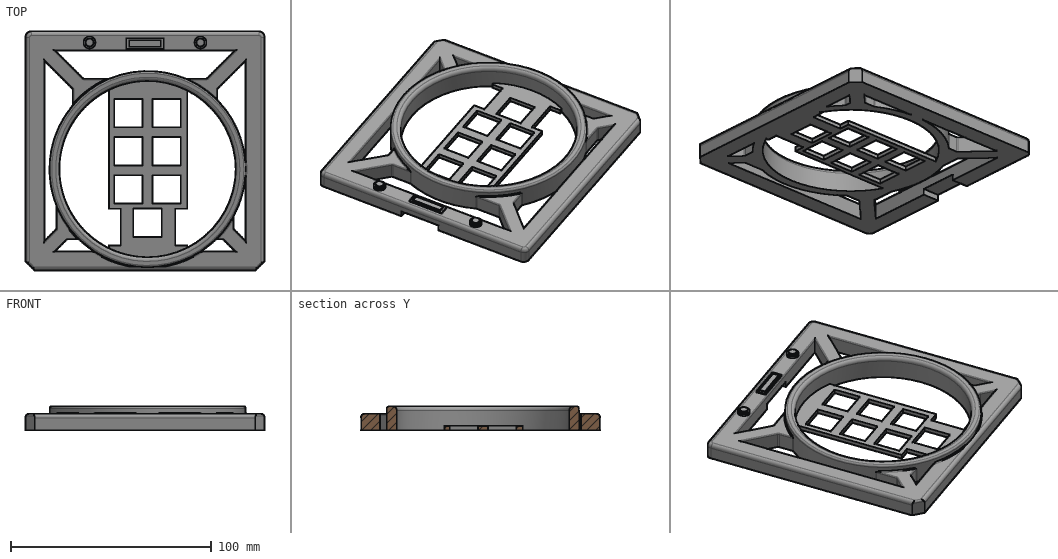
import cadquery as cq
FRAME_SIZE = 119.5
FRAME_HEIGHT = 8.4
FRAME_HALF = FRAME_SIZE / 2
WINDOW_HALF = 50.1
WINDOW_EDGE_RADIUS = 0.5
FRONT_CORNER_CHAMFER = 4.7
FRONT_CORNER_EDGE_RADIUS = 1.0
BACK_CORNER_RADIUS = 3.0
TOP_EDGE_RADIUS = 2.0

ARM_WIDTH = 7.4
BACK_PAD_REACH = 36.1
FRONT_PAD_REACH = 44.2
PAD_CORNER_RADIUS = 1.0

RING_X = 1.25
RING_Y = -9.1
RING_OUTER_RADIUS = 98 / 2
RING_INNER_RADIUS = 88 / 2
RING_HEIGHT = 12.1
RING_OUTER_FILLET = 1.0
RING_INNER_FILLET = 2.0
RING_BASE_FILLET = 0.5

PLATE_THICKNESS = 2.3
PLATE_WIDTH = 39.2
PLATE_X = 1.5
NECK_WIDTH = 27.4
NECK_BACK_Y = -29.0
NECK_FRONT_Y = -47.2
KEY_SIZE = 14.0
KEY_PITCH = 19.05
KEY_MIDDLE_Y = -0.2
THUMB_KEY_Y = -35.9

BUTTON_SPACING = 55.4
BUTTON_Y = 54.1
BUTTON_STEPS = ((6.0, 1.1), (4.0, 2.1))
BADGE_Y = 53.7
BADGE_STEPS = ((18.6, 5.2, 0.5), (15.8, 3.3, 1.0))

NOTCH_X = 1.3
NOTCH_WIDTH = 21.2
NOTCH_HEIGHT = 3.2


def box(x_min, x_max, y_min, y_max, height):
    """Block standing on Z = 0."""
    return (
        cq.Workplane("XY")
        .box(x_max - x_min, y_max - y_min, height, centered=False)
        .translate((x_min, y_min, 0))
    )


def square_block(half, height):
    return box(-half, half, -half, half, height)


def ring_disc(radius, height=RING_HEIGHT):
    return cq.Workplane("XY").center(RING_X, RING_Y).circle(radius).extrude(height)


def make_bevel_limit():
    """Block turned by 45 degrees whose two front faces bevel the front corners of the frame."""
    bevel_distance = (FRAME_SIZE - FRONT_CORNER_CHAMFER) / 2**0.5
    limit = box(-bevel_distance, FRAME_SIZE, -bevel_distance, FRAME_SIZE, FRAME_HEIGHT)
    limit = limit.faces(">Z").edges("<X or <Y").fillet(FRONT_CORNER_EDGE_RADIUS)
    return limit.rotate((0, 0, 0), (0, 0, 1), 45)


def make_frame():
    outer = square_block(FRAME_HALF, FRAME_HEIGHT)
    outer = outer.edges("|Z and >Y").fillet(BACK_CORNER_RADIUS)
    outer = outer.faces(">Z").edges().fillet(TOP_EDGE_RADIUS)
    outer = outer.intersect(make_bevel_limit())
    opening = square_block(WINDOW_HALF, FRAME_HEIGHT)
    ring_base = ring_disc(RING_OUTER_RADIUS, FRAME_HEIGHT).intersect(opening)
    frame = outer.cut(opening).union(make_arms()).union(ring_base)

    pad_reach = FRONT_PAD_REACH + 1
    pad_corners = cq.selectors.BoxSelector(
        (-pad_reach, -pad_reach, 0),
        (pad_reach, pad_reach, FRAME_HEIGHT),
    )
    frame = frame.edges("|Z").edges(pad_corners).fillet(PAD_CORNER_RADIUS)

    opening_reach = WINDOW_HALF + 1
    window_top_edges = cq.selectors.BoxSelector(
        (-opening_reach, -opening_reach, FRAME_HEIGHT - 0.1),
        (opening_reach, opening_reach, FRAME_HEIGHT + 0.1),
    )
    return frame.edges(window_top_edges).fillet(WINDOW_EDGE_RADIUS)


def make_arms():
    length = 2 * WINDOW_HALF * 2**0.5
    bar = cq.Workplane("XY").box(length, ARM_WIDTH, FRAME_HEIGHT, centered=(True, True, False))
    arms = bar.rotate((0, 0, 0), (0, 0, 1), 45).union(bar.rotate((0, 0, 0), (0, 0, 1), -45))
    back_pads = box(-BACK_PAD_REACH, BACK_PAD_REACH, 0, BACK_PAD_REACH, FRAME_HEIGHT)
    front_pads = box(-FRONT_PAD_REACH, FRONT_PAD_REACH, -FRONT_PAD_REACH, 0, FRAME_HEIGHT)
    return arms.union(back_pads).union(front_pads)


def make_ring():
    ring = ring_disc(RING_OUTER_RADIUS)
    ring = ring.faces(">Z").edges().fillet(RING_OUTER_FILLET)
    ring = ring.cut(ring_disc(RING_INNER_RADIUS))
    inner_edge = cq.selectors.RadiusNthSelector(0)
    return ring.faces(">Z").edges(inner_edge).fillet(RING_INNER_FILLET)


def make_ring_base_fillet(frame):
    """Concave fillet where the outside of the ring meets the flat top of the frame."""
    base = FRAME_HEIGHT
    wall = RING_OUTER_RADIUS
    size = RING_BASE_FILLET
    middle = size * (1 - 0.5**0.5)
    skirt = (
        cq.Workplane("XZ")
        .moveTo(wall, base)
        .lineTo(wall + size, base)
        .threePointArc((wall + middle, base + middle), (wall, base + size))
        .close()
        .revolve(360, (0, 0, 0), (0, 1, 0))
        .translate((RING_X, RING_Y, 0))
    )
    flat_top = cq.Solid.extrudeLinear(frame.faces(">Z").val(), cq.Vector(0, 0, size))
    return skirt.intersect(cq.Workplane(flat_top))


def make_plate():
    left = PLATE_X - PLATE_WIDTH / 2
    right = PLATE_X + PLATE_WIDTH / 2
    front = RING_Y - RING_OUTER_RADIUS
    back = RING_Y + RING_OUTER_RADIUS
    neck_side = (PLATE_WIDTH - NECK_WIDTH) / 2
    plate = box(left, right, front, back, PLATE_THICKNESS)
    plate = plate.cut(box(left, left + neck_side, NECK_FRONT_Y, NECK_BACK_Y, PLATE_THICKNESS))
    plate = plate.cut(box(right - neck_side, right, NECK_FRONT_Y, NECK_BACK_Y, PLATE_THICKNESS))
    keys = [
        (RING_X + column * KEY_PITCH, KEY_MIDDLE_Y + row * KEY_PITCH)
        for column in (-0.5, 0.5)
        for row in (-1, 0, 1)
    ]
    keys.append((RING_X, THUMB_KEY_Y))
    holes = cq.Workplane("XY").pushPoints(keys).rect(KEY_SIZE, KEY_SIZE).extrude(PLATE_THICKNESS)
    inside_ring = ring_disc((RING_INNER_RADIUS + RING_OUTER_RADIUS) / 2)
    return plate.cut(holes).intersect(inside_ring)


def add_back_bar_details(body):
    top = cq.Workplane("XY").workplane(offset=FRAME_HEIGHT)
    button_centres = [(-BUTTON_SPACING / 2, BUTTON_Y), (BUTTON_SPACING / 2, BUTTON_Y)]
    for diameter, height in BUTTON_STEPS:
        body = body.union(top.pushPoints(button_centres).circle(diameter / 2).extrude(height))
    for length, width, height in BADGE_STEPS:
        body = body.union(top.center(0, BADGE_Y).rect(length, width).extrude(height))
    return body


def cut_notch(body):
    left = NOTCH_X - NOTCH_WIDTH / 2
    return body.cut(box(left, left + NOTCH_WIDTH, WINDOW_HALF, FRAME_HALF, NOTCH_HEIGHT))


frame = make_frame()
body = frame.cut(ring_disc(RING_INNER_RADIUS))
body = body.union(make_ring()).union(make_ring_base_fillet(frame)).union(make_plate())
body = add_back_bar_details(body)
result = cut_notch(body)